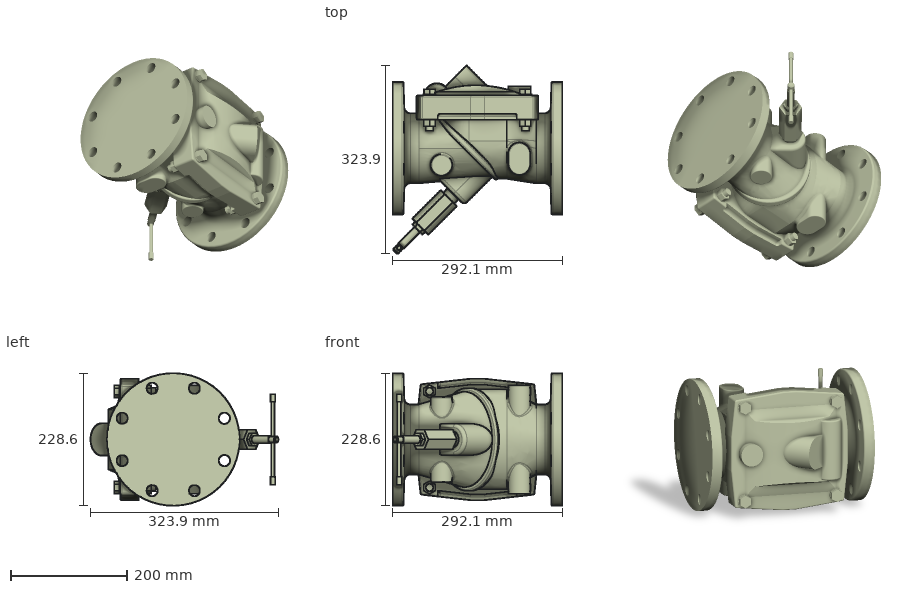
import cadquery as cq
import math


length = 292.1
flange_radius = 114.3
flange_thickness = 20.2
flange_rim_thickness = 19.05
flange_fillet = 3.0
bolt_circle_radius = 95.25
flange_hole_diameter = 19.05
flange_hole_count = 8
neck_radius = 60.5
neck_fillet = 10.0
face_x = length / 2

neck_end_x = 101.0
body_right_x = 50.0
body_half_width = 86.0
body_bottom_y = -52.5
wall_start_y = 13.0
seat_sum = -15.0
seat_half_width = 84.5
seat_half_height = 68.0

cover_bottom_y = 49.0
cover_top_y = 91.0
relief_top_y = 59.5
cover_corner_x = 98.0
cover_corner_z = 95.0
cover_end_x = 105.0
cover_end_z = 30.0
cover_side_x = 12.0
cover_side_z = 104.7
cover_corner_fillet = 4.0
cover_fillet = 2.5
relief_half_length = 68.0
relief_corner_z = 88.0
relief_side_z = 94.3
relief_fillet = 4.0

crown_left_x = -85.0
crown_right_x = 80.0
crown_peak_x = -5.0
crown_peak_y = 108.5
crown_half_width = 52.5
crown_shoulder_y = 97.0
crown_shoulder_z = 58.0
crown_foot_z = 77.0
hinge_x = -70.0
hinge_radius = 21.0
hinge_half_length = 52.5
plug_x = 72.3
plug_radius = 19.5
plug_top_y = 107.0

cover_bolt_x = 82.5
cover_bolt_z = 82.7
bolt_radius = 6.4
bolt_tip_y = 30.0
nut_corners = 22.0
nut_height = 11.0
washer_radius = 11.0
washer_thickness = 2.0
head_top_y = 102.0

rim_inlet_side = 6.0
rim_outlet_side = 7.0
rim_height = 4.0
rim_fillet = 3.0

stem_offset = 36.5
stem_housing_radius = 27.0
stem_housing_end = 85.1
stem_housing_fillet = 6.0
stem_housing_wall = 36.0
upper_center = (-38.5, 122.9)
upper_radius = 28.0
upper_wall = 50.0
upper_length = 80.0

collar_radius = 13.5
bonnet_start = 95.6
bonnet_end = 165.0
bonnet_flats = 34.0
lock_nut_end = 172.0
lock_nut_flats = 21.5
rod_radius = 6.7
rod_end = 211.5
tip_radius = 5.8
tip_end = 226.6
tip_chamfer = 2.0
handle_distance = 216.6
handle_radius = 3.1
handle_half_length = 78.0
handle_cap_radius = 4.2
handle_cap_length = 13.5

round_boss_center = (-62.0, -28.6)
round_boss_radius = 18.6
round_boss_z = 73.3
slot_boss_center = (72.0, -18.0)
slot_boss_width = 37.5
slot_boss_length = 56.0
slot_boss_z = 93.7
boss_fillet = 1.5
round_boss_root = 2.5
slot_boss_root = 4.0

overlap = 1.0

ROOT2 = math.sqrt(2)
stem_plane = cq.Plane(
    origin=(stem_offset / 2, -stem_offset / 2, 0), xDir=(1, -1, 0), normal=(-1, -1, 0)
)
upper_plane = cq.Plane(
    origin=(upper_center[0], upper_center[1], 0), xDir=(1, 1, 0), normal=(1, -1, 0)
)
seat_plane = cq.Plane(origin=(seat_sum, 0, 0), xDir=(-1, 1, 0), normal=(1, 1, 0))


def level(y):
    """Plane at height y, drawn in X and Z, facing +Y."""
    return cq.Workplane(cq.Plane(origin=(0, y, 0), xDir=(1, 0, 0), normal=(0, 1, 0)))


def pipe():
    """Both flanges and the neck between them, turned about X."""
    hub_x = face_x - flange_thickness
    rim_x = face_x - flange_rim_thickness
    neck_bend = neck_fillet * (1 - 1 / ROOT2)
    rim_bend = flange_fillet * (1 - 1 / ROOT2)
    profile = (
        cq.Workplane("XY")
        .moveTo(neck_end_x, 0)
        .lineTo(neck_end_x, neck_radius)
        .lineTo(hub_x - neck_fillet, neck_radius)
        .threePointArc((hub_x - neck_bend, neck_radius + neck_bend), (hub_x, neck_radius + neck_fillet))
        .lineTo(rim_x, flange_radius - flange_fillet)
        .threePointArc((rim_x + rim_bend, flange_radius - rim_bend), (rim_x + flange_fillet, flange_radius))
        .lineTo(face_x, flange_radius)
        .lineTo(face_x, 0)
        .close()
    )
    half = profile.revolve(360, (0, 0, 0), (1, 0, 0))
    holes = (
        cq.Workplane("YZ", origin=(face_x - flange_thickness, 0, 0))
        .polarArray(bolt_circle_radius, 180 / flange_hole_count, 360, flange_hole_count)
        .circle(flange_hole_diameter / 2)
        .extrude(flange_thickness)
    )
    half = half.cut(holes)
    return half.union(half.mirror("YZ"))


def oval(plane, half_height, half_width):
    return cq.Workplane(plane).ellipse(half_height, half_width)


def neck_end(x):
    plane = cq.Plane(origin=(x, 0, 0), xDir=(0, 1, 0), normal=(1, 0, 0))
    return oval(plane, neck_radius, neck_radius).val()


def inlet_body():
    """Straight-sided blend from the left neck to the sloping seat."""
    seat = oval(seat_plane, seat_half_height, seat_half_width).val()
    return cq.Workplane(cq.Solid.makeLoft([neck_end(-neck_end_x), seat], True))


def seat_footprint():
    """Column along Y that narrows with the seat's oval outline towards -X."""
    height = 2 * length
    half_depth = seat_half_height / ROOT2
    oval_part = level(-length).center(seat_sum, 0).ellipse(half_depth, body_half_width).extrude(height)
    open_part = level(-length).center(seat_sum + length / 2, 0).rect(length, length).extrude(height)
    return oval_part.union(open_part)


def outlet_body():
    """Oval body beyond the seat, blended into the right neck, with walls rising to the cover."""
    right_plane = cq.Plane(origin=(body_right_x, wall_start_y, 0), xDir=(0, 1, 0), normal=(1, 0, 0))
    right_oval = oval(right_plane, wall_start_y - body_bottom_y, body_half_width)
    middle = right_oval.extrude(-body_right_x - neck_end_x)
    taper = cq.Workplane(cq.Solid.makeLoft([right_oval.val(), neck_end(neck_end_x)], True))
    neck_half_width = math.sqrt(neck_radius**2 - wall_start_y**2)
    upper_half = [
        (-neck_end_x, body_half_width),
        (body_right_x, body_half_width),
        (neck_end_x, neck_half_width),
    ]
    lower_half = [(x, -z) for x, z in reversed(upper_half)]
    walls = (
        level(wall_start_y)
        .polyline(upper_half + lower_half)
        .close()
        .extrude(cover_bottom_y - wall_start_y)
    )
    before_seat = cq.Workplane(seat_plane).rect(3 * length, length).extrude(-length)
    return middle.union(walls).cut(before_seat).intersect(seat_footprint()).union(taper)


def seat_rim():
    band = cq.Workplane(seat_plane).workplane(offset=-rim_inlet_side)
    return (
        band.ellipse(seat_half_height + rim_height, seat_half_width + rim_height)
        .extrude(rim_inlet_side + rim_outlet_side)
        .edges()
        .fillet(rim_fillet)
    )


def cover_outline(y):
    quarter = [
        (cover_end_x, cover_end_z),
        (cover_corner_x, cover_corner_z),
        (cover_side_x, cover_side_z),
    ]
    front = quarter + [(-x, z) for x, z in reversed(quarter)]
    back = [(x, -z) for x, z in reversed(front)]
    return level(y).polyline(front + back).close()


def side_relief():
    """Material removed below the cover's edge on the +Z side, between the bolts."""
    reach = cover_side_z + overlap
    block = (
        level(cover_bottom_y)
        .polyline([
            (-relief_half_length, -reach),
            (-relief_half_length, -relief_corner_z),
            (-cover_side_x, -relief_side_z),
            (cover_side_x, -relief_side_z),
            (relief_half_length, -relief_corner_z),
            (relief_half_length, -reach),
        ])
        .close()
        .extrude(relief_top_y - cover_bottom_y)
    )
    inner_edges = cq.selectors.BoxSelector(
        (-length, relief_top_y - overlap / 2, 0), (length, cover_top_y, cover_side_z)
    )
    return block.edges(inner_edges).fillet(relief_fillet)


def cover_slab():
    slab = cover_outline(cover_bottom_y).extrude(cover_top_y - cover_bottom_y)
    for side in (-1, 1):
        corners = cq.selectors.BoxSelector(
            (-cover_end_x, cover_bottom_y, side * (cover_corner_z - overlap)),
            (cover_end_x, cover_top_y, side * (cover_corner_z + overlap)),
        )
        slab = slab.edges("|Y").edges(corners).fillet(cover_corner_fillet)
    slab = slab.faces(">Y or <Y").edges().fillet(cover_fillet)
    relief = side_relief()
    return slab.cut(relief).cut(relief.mirror("XY"))


def crown():
    """Domed top of the cover: an arch along X with sloping ends."""
    arch = (
        cq.Workplane("XY", origin=(0, 0, -crown_foot_z))
        .moveTo(crown_left_x, cover_top_y - overlap)
        .lineTo(crown_left_x, cover_top_y)
        .threePointArc((crown_peak_x, crown_peak_y), (crown_right_x, cover_top_y))
        .lineTo(crown_right_x, cover_top_y - overlap)
        .close()
        .extrude(2 * crown_foot_z)
    )
    slope = [
        (cover_top_y - overlap, crown_foot_z),
        (cover_top_y, crown_foot_z),
        (crown_shoulder_y, crown_shoulder_z),
        (crown_peak_y + overlap, crown_half_width),
    ]
    ends = (
        cq.Workplane("YZ", origin=(crown_left_x, 0, 0))
        .polyline(slope + [(y, -z) for y, z in reversed(slope)])
        .close()
        .extrude(crown_right_x - crown_left_x)
    )
    return arch.intersect(ends)


def hinge_housing():
    return (
        cq.Workplane("XY", origin=(hinge_x, cover_top_y, -hinge_half_length))
        .circle(hinge_radius)
        .extrude(2 * hinge_half_length)
        .edges()
        .fillet(cover_fillet)
    )


def plug():
    base_y = cover_top_y - overlap
    return level(base_y).center(plug_x, 0).circle(plug_radius).extrude(plug_top_y - base_y)


def bolt_hexagon(x, z, bottom_y, top_y):
    """Hexagon with two corners pointing to +Z and -Z."""
    plane = cq.Plane(origin=(x, bottom_y, z), xDir=(0, 0, 1), normal=(0, 1, 0))
    return cq.Workplane(plane).polygon(6, nut_corners).extrude(top_y - bottom_y)


def cover_bolt(x, z):
    shank = level(bolt_tip_y).center(x, z).circle(bolt_radius).extrude(cover_top_y - bolt_tip_y)
    nut = bolt_hexagon(x, z, cover_bottom_y - nut_height, cover_bottom_y)
    washer = level(cover_top_y).center(x, z).circle(washer_radius).extrude(washer_thickness)
    head = bolt_hexagon(x, z, cover_top_y, head_top_y)
    return shank.union(nut).union(washer).union(head)


def u_prism(plane, radius, wall, depth):
    """Half-round prism, round towards the plane's +x, with straight walls the other way."""
    return (
        cq.Workplane(plane)
        .moveTo(-wall, -radius)
        .lineTo(0, -radius)
        .threePointArc((radius, 0), (0, radius))
        .lineTo(-wall, radius)
        .close()
        .extrude(depth)
    )


def stem_cylinder(start, end, radius):
    return cq.Workplane(stem_plane).workplane(offset=start).circle(radius).extrude(end - start)


def stem_hexagon(start, end, flats):
    """Hexagonal bar with two flats facing +Z and -Z."""
    corners = flats / math.cos(math.pi / 6)
    return cq.Workplane(stem_plane).workplane(offset=start).polygon(6, corners).extrude(end - start)


def stem():
    rod = stem_cylinder(stem_housing_end, rod_end, rod_radius)
    tip = stem_cylinder(rod_end, tip_end, tip_radius).faces("<(1,1,0)").edges().chamfer(tip_chamfer)
    along = handle_distance / ROOT2
    handle_at = (stem_offset / 2 - along, -stem_offset / 2 - along)
    handle = (
        cq.Workplane("XY").center(*handle_at).circle(handle_radius).extrude(handle_half_length, both=True)
    )
    cap = (
        cq.Workplane("XY", origin=(0, 0, handle_half_length - handle_cap_length))
        .center(*handle_at)
        .circle(handle_cap_radius)
        .extrude(handle_cap_length)
    )
    return (
        stem_cylinder(stem_housing_end, bonnet_start, collar_radius)
        .union(stem_hexagon(bonnet_start, bonnet_end, bonnet_flats))
        .union(stem_hexagon(bonnet_end, lock_nut_end, lock_nut_flats))
        .union(rod)
        .union(tip)
        .union(handle)
        .union(cap)
        .union(cap.mirror("XY"))
    )


def with_boss(solid, boss, root_fillet):
    """Add a boss on both sides of a solid and round its root."""
    boss = boss.faces(">Z or <Z").edges().fillet(boss_fillet)
    joined = solid.union(boss)
    extent = boss.val().BoundingBox()
    root_limit = extent.zmax - boss_fillet - overlap / 10
    low = (extent.xmin - overlap, extent.ymin - overlap, boss_fillet)
    high = (extent.xmax + overlap, extent.ymax + overlap, root_limit)
    for side in (-1, 1):
        root = cq.selectors.BoxSelector(
            (low[0], low[1], side * low[2]), (high[0], high[1], side * high[2]), boundingbox=True
        )
        joined = joined.edges(root).edges("not |Z").fillet(root_fillet)
    return joined


def round_boss():
    outline = cq.Workplane("XY").center(*round_boss_center).circle(round_boss_radius)
    return outline.extrude(round_boss_z, both=True)


def slot_boss():
    return (
        cq.Workplane("XY")
        .center(*slot_boss_center)
        .slot2D(slot_boss_length, slot_boss_width, 90)
        .extrude(slot_boss_z, both=True)
    )


def stem_housing():
    housing = u_prism(stem_plane, stem_housing_radius, stem_housing_wall, stem_housing_end)
    return housing.faces("<(1,1,0)").edges().fillet(stem_housing_fillet)


def upper_housing():
    return u_prism(upper_plane, upper_radius, upper_wall, upper_length)


result = pipe().union(inlet_body()).union(outlet_body())
result = with_boss(result, round_boss(), round_boss_root)
result = with_boss(result, slot_boss(), slot_boss_root)
result = result.union(seat_rim()).union(stem_housing()).union(stem())
result = result.union(cover_slab()).union(crown()).union(hinge_housing()).union(plug())
result = result.union(upper_housing())
for bolt_x in (-cover_bolt_x, cover_bolt_x):
    for bolt_z in (-cover_bolt_z, cover_bolt_z):
        result = result.union(cover_bolt(bolt_x, bolt_z))